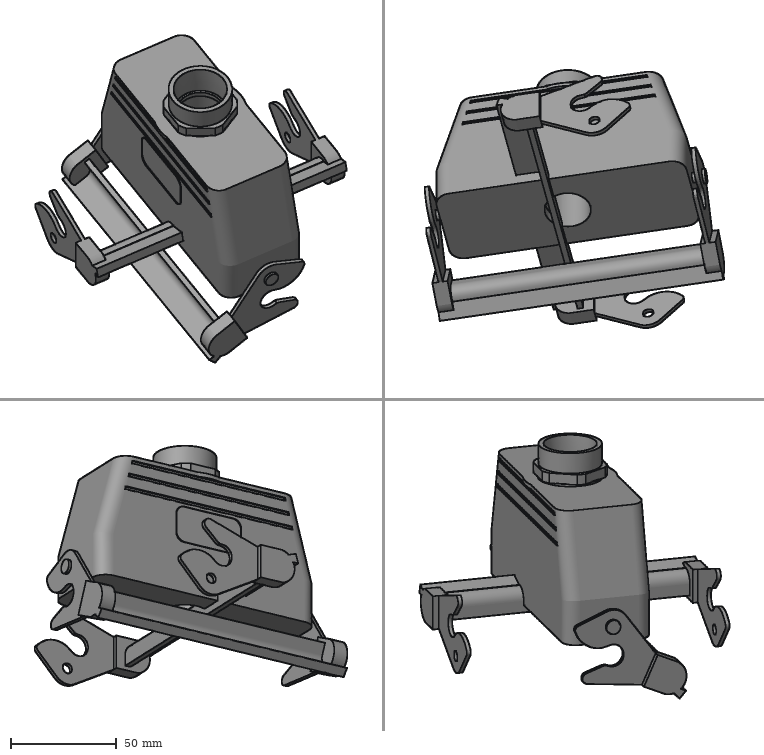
import cadquery as cq
import math

housing_depth = 43.1
base_half_width = 60.2
top_half_width = 49.0
shoulder_height = 22.1
housing_height = 63.5
corner_radius = 7.0
bore_diameter = 21.8

boss_diameter = 44.8
boss_height = 2.2
groove_height = 1.5
groove_depth = 0.8
groove_count = 3
groove_pitch = 7.0

badge_width = 36.0
badge_height = 18.2
badge_corner_radius = 4.5
badge_center_height = 35.1
badge_depth = 0.4

pin_height = 9.4
pin_diameter = 4.9
pin_head_diameter = 7.0
pin_head_thickness = 1.4

collar_diameter = 31.0
collar_height = 1.4
hex_across_flats = 32.2
hex_corner_diameter = 35.0
hex_height = 5.0
spigot_diameter = 30.0
spigot_height = 10.0
counterbore_diameter = 24.3
counterbore_height = 1.6
mouth_diameter = 25.3
mouth_depth = 12.3
mouth_bow = 0.1

lever_length = 136.5
end_block_length = 7.4
plate_thickness = 2.0
plate_outer_offset = 65.2
pivot_hole_diameter = 5.0
pivot_eye_radius = 8.2
hook_center = (6.0, 13.2)
hook_radius = 5.5

block_start = 25.8
block_flat_end = 37.4
block_end = 44.5
block_bottom = 5.2
block_top = 21.8

wall_outside = 30.7
wall_bottom = 7.4
wall_thickness = 2.9
bend_outer_radius = 5.9
bend_inner_radius = 3.4
bend_height = 13.2
flange_underside = 16.9
flange_root_height = 18.8
flange_tip_top = (45.2, 21.5)
flange_tip_bottom = 46.5

free_lever_pivot = (-26.0, -11.0)
pinned_lever_swing = 204.4


def make_hood_blank():
    """Prism with vertical lower ends, sloping upper ends and rounded corners."""
    outline = [
        (-base_half_width, 0),
        (base_half_width, 0),
        (base_half_width, shoulder_height),
        (top_half_width, housing_height),
        (-top_half_width, housing_height),
        (-base_half_width, shoulder_height),
    ]
    hood = cq.Workplane("XZ").polyline(outline).close().extrude(housing_depth / 2, both=True)
    return hood.edges("not(|X or |Y)").fillet(corner_radius)


def flat_half_width(height):
    """Half width of the flat long side of the hood on its sloping part."""
    slope = (base_half_width - top_half_width) / (housing_height - shoulder_height)
    corner_width = corner_radius * math.hypot(1, slope)
    return top_half_width + slope * (housing_height - height) - corner_width


def make_groove(top, side):
    """Shallow slot across one long side (side is -1 or +1), ending at the rounded corners."""
    bottom = top - groove_height
    outline = [
        (-flat_half_width(bottom), bottom),
        (flat_half_width(bottom), bottom),
        (flat_half_width(top), top),
        (-flat_half_width(top), top),
    ]
    slot = cq.Workplane("XZ").polyline(outline).close().extrude(groove_depth, both=True)
    return slot.translate((0, side * housing_depth / 2, 0))


def make_badge_recess():
    recess = cq.Workplane("XY").box(badge_width, 2 * badge_depth, badge_height)
    recess = recess.edges("|Y").fillet(badge_corner_radius)
    return recess.translate((0, -housing_depth / 2, badge_center_height))


def make_pin(side):
    """Headed pivot pin on one end of the hood (side is -1 or +1)."""
    shaft_root = base_half_width - pin_diameter / 2
    pin = (
        cq.Workplane("YZ", origin=(side * shaft_root, 0, pin_height))
        .circle(pin_diameter / 2)
        .extrude(side * (plate_outer_offset - shaft_root))
    )
    head = (
        cq.Workplane("YZ", origin=(side * plate_outer_offset, 0, pin_height))
        .circle(pin_head_diameter / 2)
        .extrude(side * pin_head_thickness)
    )
    return pin.union(head)


def make_housing(free_lever):
    """Hood with its pins, boss, grooves and badge recess, cleared for the lever that crosses it."""
    boss = cq.Workplane("XY").workplane(offset=housing_height - boss_height)
    boss = boss.circle(boss_diameter / 2).extrude(boss_height)
    hood = make_hood_blank().union(boss)
    for side in (-1, 1):
        hood = hood.union(make_pin(side))
        for index in range(groove_count):
            groove_top = housing_height - boss_height - index * groove_pitch
            hood = hood.cut(make_groove(groove_top, side))
    hood = hood.cut(make_badge_recess())
    bore = cq.Workplane("XY").circle(bore_diameter / 2).extrude(housing_height)
    return hood.cut(bore).cut(free_lever)


def make_gland():
    """Collar, hexagon with turned-off corners and spigot, with a stepped, flared bore."""
    hex_bottom = housing_height + collar_height
    hex_top = hex_bottom + hex_height
    gland_top = hex_top + spigot_height
    hex_points_diameter = hex_across_flats / math.cos(math.pi / 6)

    collar = cq.Workplane("XY").workplane(offset=housing_height)
    collar = collar.circle(collar_diameter / 2).extrude(collar_height)
    hex_plane = cq.Workplane("XY").workplane(offset=hex_bottom)
    hexagon = hex_plane.polygon(6, hex_points_diameter).extrude(hex_height)
    hexagon = hexagon.intersect(hex_plane.circle(hex_corner_diameter / 2).extrude(hex_height))
    spigot = cq.Workplane("XY").workplane(offset=hex_top)
    spigot = spigot.circle(spigot_diameter / 2).extrude(spigot_height)

    bore_radius = bore_diameter / 2
    counterbore_radius = counterbore_diameter / 2
    mouth_radius = mouth_diameter / 2
    mouth_bottom = gland_top - mouth_depth
    ledge = mouth_bottom - counterbore_height
    flare_middle = ((counterbore_radius + mouth_radius) / 2 - mouth_bow, gland_top - mouth_depth / 2)
    bore = (
        cq.Workplane("XZ")
        .moveTo(0, housing_height)
        .lineTo(bore_radius, housing_height)
        .lineTo(bore_radius, ledge)
        .lineTo(counterbore_radius, ledge)
        .lineTo(counterbore_radius, mouth_bottom)
        .threePointArc(flare_middle, (mouth_radius, gland_top))
        .lineTo(0, gland_top)
        .close()
        .revolve(360, (0, 0, 0), (0, 1, 0))
    )
    return collar.union(hexagon).union(spigot).cut(bore)


def eye_tangent(point, turn):
    """Point where a line from `point` touches the pivot eye; turn is -1 or +1 for the side."""
    distance = math.hypot(*point)
    angle = math.atan2(point[1], point[0]) + turn * math.acos(pivot_eye_radius / distance)
    return (pivot_eye_radius * math.cos(angle), pivot_eye_radius * math.sin(angle))


def make_side_plate():
    """Hooked plate with the pivot eye, a rounded tail and a finger beyond the hook."""
    block_corner = (block_start, block_bottom)
    tail_start = (-16.5, 5.5)
    tail_tip = (-17.0, 7.1)
    tail_end = (-16.0, 8.9)
    hump_crest = (-7.0, 13.0)
    hump_end = (-0.4, 11.3)
    hook_start = (2.2, 9.3)
    hook_bottom = (hook_center[0] + hook_radius, hook_center[1])
    hook_end = (7.1, 18.5)
    throat_corners = [(4.8, 18.8), (3.5, 19.5)]
    finger_start = (-2.9, 25.5)
    finger_tip = (-3.5, 28.5)
    finger_end = (-0.5, 30.3)
    plate = (
        cq.Workplane("XZ")
        .moveTo(*block_corner)
        .lineTo(*eye_tangent(block_corner, -1))
        .threePointArc((0, -pivot_eye_radius), eye_tangent(tail_start, 1))
        .lineTo(*tail_start)
        .threePointArc(tail_tip, tail_end)
        .threePointArc(hump_crest, hump_end)
        .lineTo(*hook_start)
        .threePointArc(hook_bottom, hook_end)
        .polyline(throat_corners, includeCurrent=True)
        .lineTo(*finger_start)
        .threePointArc(finger_tip, finger_end)
        .lineTo(block_start, block_top)
        .close()
        .extrude(plate_thickness / 2, both=True)
    )
    hole = cq.Workplane("XZ").circle(pivot_hole_diameter / 2).extrude(plate_thickness, both=True)
    return plate.cut(hole)


def make_end_block():
    """Block with a rounded outer end that joins a side plate to the handle."""
    block_middle = (block_bottom + block_top) / 2
    return (
        cq.Workplane("XZ")
        .moveTo(block_start, block_bottom)
        .lineTo(block_flat_end, block_bottom)
        .threePointArc((block_end, block_middle), (block_flat_end, block_top))
        .lineTo(block_start, block_top)
        .close()
        .extrude(end_block_length / 2, both=True)
    )


def make_handle():
    """Bent bar: a straight wall, a round bend and a flange that thickens towards its tip."""
    diagonal = math.sqrt(0.5)
    wall_inside = wall_outside + wall_thickness
    bend_top = bend_height + bend_outer_radius
    outer_middle = (
        wall_outside + bend_outer_radius * (1 - diagonal),
        bend_height + bend_outer_radius * diagonal,
    )
    inner_middle = (
        wall_inside + bend_inner_radius * (1 - diagonal),
        flange_underside - bend_inner_radius * (1 - diagonal),
    )
    return (
        cq.Workplane("XZ")
        .moveTo(wall_outside, wall_bottom)
        .lineTo(wall_outside, bend_height)
        .threePointArc(outer_middle, (wall_outside + bend_outer_radius, bend_top))
        .lineTo(block_flat_end, bend_top)
        .lineTo(block_flat_end, flange_root_height)
        .lineTo(*flange_tip_top)
        .lineTo(flange_tip_bottom, flange_underside)
        .lineTo(wall_inside + bend_inner_radius, flange_underside)
        .threePointArc(inner_middle, (wall_inside, flange_underside - bend_inner_radius))
        .lineTo(wall_inside, wall_bottom)
        .close()
        .extrude(lever_length / 2, both=True)
    )


def make_lever():
    """Handle bar with an end block and a hooked side plate at each end."""
    block_offset = (lever_length - end_block_length) / 2
    plate_offset = plate_outer_offset - plate_thickness / 2
    lever = make_handle()
    for side in (-1, 1):
        lever = lever.union(make_end_block().translate((0, side * block_offset, 0)))
        lever = lever.union(make_side_plate().translate((0, side * plate_offset, 0)))
    return lever


lever_blank = make_lever()

free_lever = lever_blank.translate((free_lever_pivot[0], 0, free_lever_pivot[1]))

pinned_lever = (
    lever_blank.rotate((0, 0, 0), (0, 1, 0), -pinned_lever_swing)
    .rotate((0, 0, 0), (0, 0, 1), 90)
    .translate((0, 0, pin_height))
)

housing = make_housing(free_lever)
gland = make_gland()

bodies = (housing, gland, free_lever, pinned_lever)
result = cq.Compound.makeCompound([body.solids().val() for body in bodies])